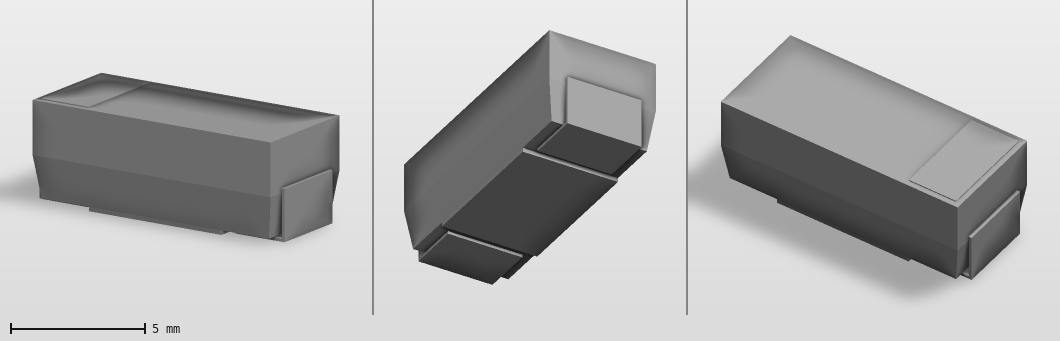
import cadquery as cq

TOTAL_LENGTH = 11.0
TOTAL_HEIGHT = 4.04

BODY_LENGTH = 10.69
BODY_WIDTH = 4.6
FLOOR_INSET = 0.24
PARTING_HEIGHT = 1.87
FOOT_LENGTH = 5.95
FOOT_HEIGHT = 0.18
FLOOR_LENGTH = BODY_LENGTH - 2 * FLOOR_INSET
FLOOR_WIDTH = BODY_WIDTH - 2 * FLOOR_INSET

MARKER_LENGTH = 2.12
MARKER_THICKNESS = 0.04
MARKER_INSET = 0.23
MARKER_WIDTH = BODY_WIDTH - 2 * MARKER_INSET
BODY_TOP = TOTAL_HEIGHT - MARKER_THICKNESS

TERMINAL_WIDTH = 3.2
TERMINAL_HEIGHT = 2.07
TERMINAL_LENGTH = 2.2
TERMINAL_THICKNESS = 0.12


def make_body():
    upper = (
        cq.Workplane("XY", origin=(0, 0, PARTING_HEIGHT))
        .rect(BODY_LENGTH, BODY_WIDTH)
        .extrude(BODY_TOP - PARTING_HEIGHT)
    )
    lower = (
        cq.Workplane("XY", origin=(0, 0, FOOT_HEIGHT))
        .rect(FLOOR_LENGTH, FLOOR_WIDTH)
        .workplane(offset=PARTING_HEIGHT - FOOT_HEIGHT)
        .rect(BODY_LENGTH, BODY_WIDTH)
        .loft(ruled=True)
    )
    foot = cq.Workplane("XY").rect(FOOT_LENGTH, FLOOR_WIDTH).extrude(FOOT_HEIGHT)
    return upper.union(lower).union(foot)


def make_marker():
    center_x = -BODY_LENGTH / 2 + MARKER_INSET + MARKER_LENGTH / 2
    return (
        cq.Workplane("XY", origin=(center_x, 0, BODY_TOP))
        .rect(MARKER_LENGTH, MARKER_WIDTH)
        .extrude(MARKER_THICKNESS)
    )


def make_terminal(side):
    """Terminal at the -X end (side = -1) or the +X end (side = 1)."""
    outer = TOTAL_LENGTH / 2
    inner = outer - TERMINAL_THICKNESS
    lip_end = BODY_LENGTH / 2
    toe = outer - TERMINAL_LENGTH
    lip_bottom = TERMINAL_HEIGHT - TERMINAL_THICKNESS
    profile = [
        (toe, 0),
        (outer, 0),
        (outer, TERMINAL_HEIGHT),
        (lip_end, TERMINAL_HEIGHT),
        (lip_end, lip_bottom),
        (inner, lip_bottom),
        (inner, TERMINAL_THICKNESS),
        (toe, TERMINAL_THICKNESS),
    ]
    return (
        cq.Workplane("XZ")
        .polyline([(side * x, z) for x, z in profile])
        .close()
        .extrude(TERMINAL_WIDTH / 2, both=True)
    )


body = make_body()
marker = make_marker()
terminals = [make_terminal(side) for side in (-1, 1)]

result = cq.Compound.makeCompound(
    [body.val(), marker.val(), *[terminal.val() for terminal in terminals]]
)